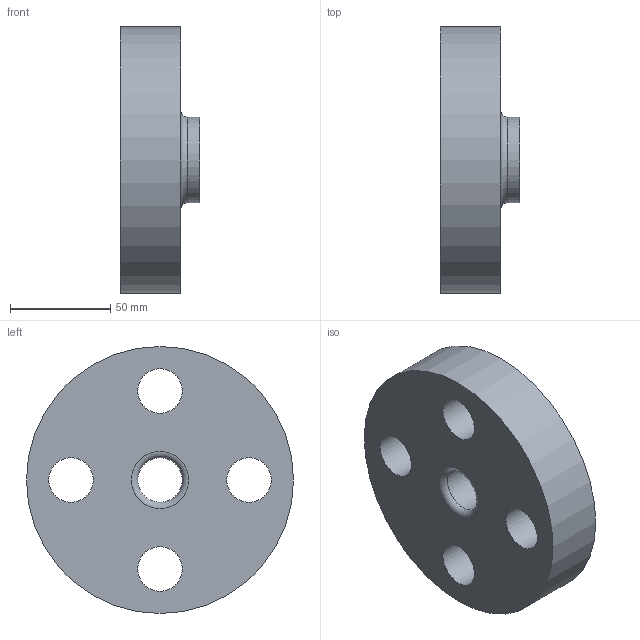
import cadquery as cq

disc_diameter = 133.35
disc_thickness = 30.16

overall_length = 39.69
hub_diameter = 42.88
hub_root_fillet = 3.175

bore_diameter = 22.225
bore_entry_radius = 3.175

bolt_hole_count = 4
bolt_hole_diameter = 22.225
bolt_circle_diameter = 88.9


def make_body():
    """Disc with the hub, blended by a fillet at the hub root."""
    disc = cq.Workplane("YZ").circle(disc_diameter / 2).extrude(disc_thickness)
    body = disc.faces(">X").workplane().circle(hub_diameter / 2).extrude(overall_length - disc_thickness)
    hub_root = cq.selectors.RadiusNthSelector(0)
    return body.faces(">X[-2]").edges(hub_root).fillet(hub_root_fillet)


def cut_bore(body):
    """Through bore with a rounded entry on the open face."""
    bored = body.cut(cq.Workplane("YZ").circle(bore_diameter / 2).extrude(overall_length))
    bore_entry = cq.selectors.RadiusNthSelector(0)
    return bored.faces("<X").edges(bore_entry).fillet(bore_entry_radius)


def cut_bolt_holes(body):
    """Evenly spaced through holes, one on each of the Y and Z axes."""
    holes = (
        cq.Workplane("YZ")
        .polarArray(bolt_circle_diameter / 2, 0, 360, bolt_hole_count)
        .circle(bolt_hole_diameter / 2)
        .extrude(disc_thickness)
    )
    return body.cut(holes)


result = cut_bolt_holes(cut_bore(make_body()))